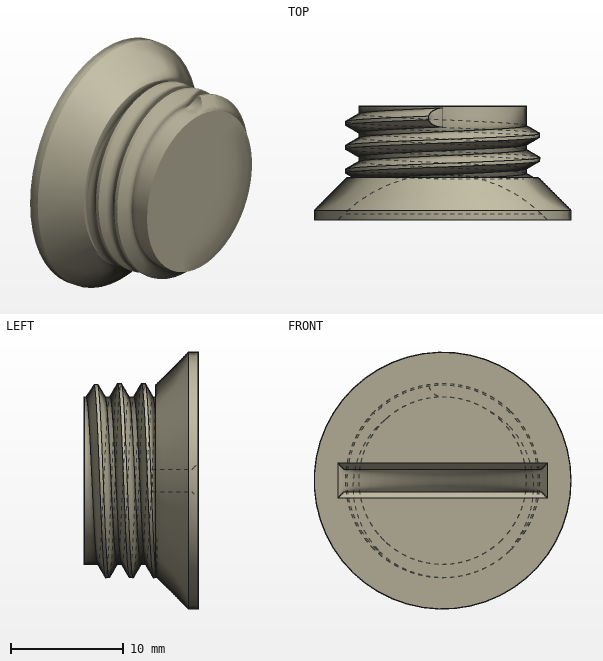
import cadquery as cq
import math

head_radius = 11.43
rim_thickness = 0.87
head_height = 3.8
neck_radius = head_radius - (head_height - rim_thickness)

total_height = 10.15
root_radius = 7.45
crest_radius = 8.65
pitch = 2.13
turns = 3
crest_width = 0.32
flank_angle = math.radians(30)
root_embed = 0.14
thread_end_y = 9.15
runout_radius = 1.25

slot_length = 18.65
slot_width = 2.0
slot_chamfer = 0.57
slot_depth = 4.11


def make_body():
    profile = [
        (0, 0),
        (head_radius, 0),
        (head_radius, rim_thickness),
        (neck_radius, head_height),
        (root_radius, head_height),
        (root_radius, total_height),
        (0, total_height),
    ]
    return cq.Workplane("XY").polyline(profile).close().revolve(360, (0, 0, 0), (0, 1, 0))


def make_thread():
    """Right-handed trapezoidal thread that starts inside the head and tapers off at +Z."""
    inner_radius = root_radius - root_embed
    half_crest = crest_width / 2
    half_base = half_crest + (crest_radius - inner_radius) * math.tan(flank_angle)
    path = cq.Wire.makeHelix(pitch, turns * pitch, inner_radius)
    thread = (
        cq.Workplane("XZ")
        .polyline([
            (inner_radius, -half_base),
            (crest_radius, -half_crest),
            (crest_radius, half_crest),
            (inner_radius, half_base),
        ])
        .close()
        .sweep(cq.Workplane(obj=path), isFrenet=True)
        .rotate((0, 0, 0), (0, 0, 1), -90)
        .rotate((0, 0, 0), (1, 0, 0), -90)
        .translate((0, thread_end_y - turns * pitch, 0))
    )

    runout = (
        cq.Workplane("XZ", origin=(0, thread_end_y - pitch / 2, root_radius + runout_radius))
        .circle(runout_radius)
        .extrude(-pitch)
    )
    return thread.cut(runout)


def make_slot():
    """Arc-shaped pocket, limited to a narrow slot whose long edges flare out at the mouth."""
    half_length = slot_length / 2
    half_width = slot_width / 2
    half_mouth = half_width + slot_chamfer
    arc_pocket = (
        cq.Workplane("XY", origin=(0, 0, -half_mouth))
        .moveTo(-half_length, 0)
        .threePointArc((0, slot_depth), (half_length, 0))
        .close()
        .extrude(2 * half_mouth)
    )
    cross_section = (
        cq.Workplane("YZ", origin=(-half_length, 0, 0))
        .polyline([
            (0, -half_mouth),
            (slot_chamfer, -half_width),
            (slot_depth, -half_width),
            (slot_depth, half_width),
            (slot_chamfer, half_width),
            (0, half_mouth),
        ])
        .close()
        .extrude(slot_length)
    )
    return arc_pocket.intersect(cross_section)


result = make_body().union(make_thread()).cut(make_slot())